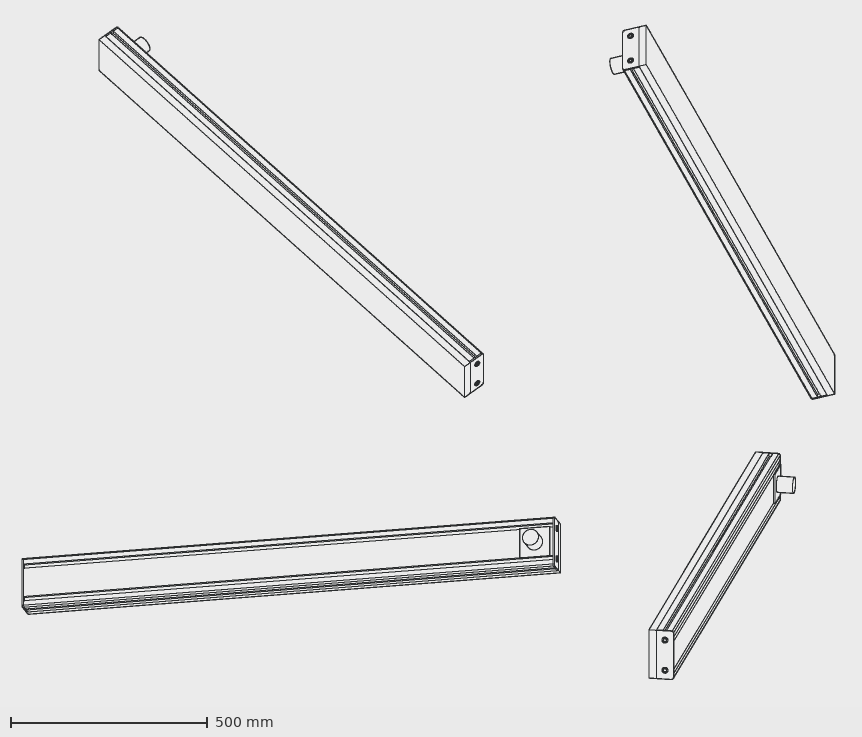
import cadquery as cq

TOTAL_LENGTH = 1402.0
HEIGHT = 130.0

FRONT_PLATE_DEPTH = 20.0
BACK_FACE_Y = 65.0
BACK_EDGE_CHAMFER = 4.0

TOP_GROOVE_Y = 40.0
TOP_GROOVE_WIDTH = 9.0
BACK_GROOVE_Z_OFFSET = 43.0
BACK_GROOVE_WIDTH = 11.0
GROOVE_DEPTH = 9.0

CAP_THICKNESS = 4.0
SCREW_HEAD_DIAMETER = 15.0
SCREW_HEAD_HEIGHT = 2.1
SOCKET_DIAMETER = 8.0
SOCKET_DEPTH = 1.0
SCREW_Y = 42.0
SCREW_Z_OFFSET = 40.0

CONNECTOR_X = 53.0
PLUG_DIAMETER = 42.0
PLUG_LENGTH = 42.0
FLANGE_SIZE = 79.0
FLANGE_THICKNESS = 3.4

MID_Z = HEIGHT / 2
LEFT_END_X = SCREW_HEAD_HEIGHT
RIGHT_END_X = TOTAL_LENGTH - SCREW_HEAD_HEIGHT
PROFILE_START_X = LEFT_END_X + CAP_THICKNESS
PROFILE_END_X = RIGHT_END_X - CAP_THICKNESS


def bar_along_x(start_x, end_x, start_y, end_y, start_z, end_z):
    """Rectangular block between the given limits."""
    size = (end_x - start_x, end_y - start_y, end_z - start_z)
    return cq.Workplane("XY").box(*size, centered=False).translate((start_x, start_y, start_z))


def plain_section(start_x, end_x):
    """Solid stretch of the section behind the front plate, with its back edges chamfered."""
    section = bar_along_x(start_x, end_x, FRONT_PLATE_DEPTH, BACK_FACE_Y, 0, HEIGHT)
    return section.edges("|X and >Y").chamfer(BACK_EDGE_CHAMFER)


def make_profile():
    """Long bar with one groove in its top, one in its bottom and two in its back."""
    profile = plain_section(PROFILE_START_X, PROFILE_END_X)
    length_limits = (PROFILE_START_X, PROFILE_END_X)

    start_y = TOP_GROOVE_Y - TOP_GROOVE_WIDTH / 2
    end_y = TOP_GROOVE_Y + TOP_GROOVE_WIDTH / 2
    for start_z in (0, HEIGHT - GROOVE_DEPTH):
        profile = profile.cut(bar_along_x(*length_limits, start_y, end_y, start_z, start_z + GROOVE_DEPTH))

    floor_y = BACK_FACE_Y - GROOVE_DEPTH
    for side in (-1, 1):
        start_z = MID_Z + side * BACK_GROOVE_Z_OFFSET - BACK_GROOVE_WIDTH / 2
        end_z = start_z + BACK_GROOVE_WIDTH
        profile = profile.cut(bar_along_x(*length_limits, floor_y, BACK_FACE_Y, start_z, end_z))
    return profile


def make_end_cap(inner_x, outward):
    """Cap on the profile end at inner_x; outward is -1 or +1 along X.

    Two screw heads with round sockets stand on its outer face.
    """
    outer_x = inner_x + outward * CAP_THICKNESS
    head_top_x = outer_x + outward * SCREW_HEAD_HEIGHT
    cap = plain_section(min(inner_x, outer_x), max(inner_x, outer_x))
    for side in (-1, 1):
        screw_z = MID_Z + side * SCREW_Z_OFFSET
        head = (
            cq.Workplane("YZ", origin=(outer_x, SCREW_Y, screw_z))
            .circle(SCREW_HEAD_DIAMETER / 2)
            .extrude(outward * SCREW_HEAD_HEIGHT)
        )
        socket = (
            cq.Workplane("YZ", origin=(head_top_x, SCREW_Y, screw_z))
            .circle(SOCKET_DIAMETER / 2)
            .extrude(-outward * SOCKET_DEPTH)
        )
        cap = cap.union(head).cut(socket)
    return cap


def make_connector():
    """Square flange on the back face with a round plug behind it."""
    flange_back_y = BACK_FACE_Y + FLANGE_THICKNESS
    half_flange = FLANGE_SIZE / 2
    flange = bar_along_x(
        CONNECTOR_X - half_flange,
        CONNECTOR_X + half_flange,
        BACK_FACE_Y,
        flange_back_y,
        MID_Z - half_flange,
        MID_Z + half_flange,
    )
    plug = (
        cq.Workplane("XZ", origin=(CONNECTOR_X, flange_back_y, MID_Z))
        .circle(PLUG_DIAMETER / 2)
        .extrude(-PLUG_LENGTH)
    )
    return flange.union(plug)


front_plate = bar_along_x(LEFT_END_X, RIGHT_END_X, 0, FRONT_PLATE_DEPTH, 0, HEIGHT)
profile = make_profile()
end_caps = [make_end_cap(PROFILE_START_X, -1), make_end_cap(PROFILE_END_X, 1)]
connector = make_connector()

result = cq.Compound.makeCompound(
    [front_plate.val(), profile.val(), *[cap.val() for cap in end_caps], connector.val()]
)